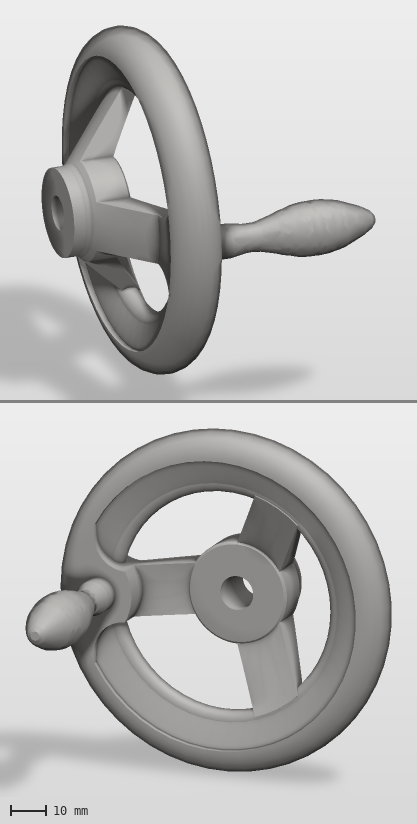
import cadquery as cq
import math


wheel_radius = 50.0
tube_radius = 7.5
tube_center_radius = wheel_radius - tube_radius
rim_front = 18.0
rim_middle = rim_front + tube_radius
rim_back = rim_front + 2 * tube_radius
lip_step = 0.3
lip_depth = 1.7
nose_start_radius = 35.0
rim_inner_radius = 32.0
nose_radius = nose_start_radius - rim_inner_radius

bore_radius = 5.0
collar_radius = 13.0
collar_length = 3.7
flare_radius = 13.5
flare_end = 5.2
hub_radius = 15.0
hub_start = 6.7
hub_chamfer = 0.7
hub_back = 17.3

spoke_count = 3
spoke_width = 15.0
spoke_root_radius = 12.0
spoke_root_front = 3.9
spoke_root_back = 15.0
spoke_tip_radius = 34.0
spoke_tip_front = 24.3
spoke_tip_back = 29.0

pad_front = rim_front + lip_depth
pad_start = 28.0
pad_fillet = 9.3
pad_end_radius = 10.0

handle_offset = 36.0
stem_radius = 5.0
stem_end = 38.0
neck_radius = 4.2
neck_middle = 44.0
grip_start = 52.0
grip_start_radius = 5.7
grip_radius = 8.0
grip_middle = 63.5
tip_start = 81.0
tip_radius = 2.7
handle_end = 82.2


def revolve_about_y(profile):
    """Turn a closed XY profile into a full revolution about the Y axis."""
    return profile.close().revolve(360, (0, 0, 0), (0, 1, 0))


def make_rim():
    """Round outer tube with both faces dished toward a rounded inner nose."""
    lip_radius = tube_center_radius - lip_step
    profile = (
        cq.Workplane("XY")
        .moveTo(tube_center_radius, rim_front)
        .threePointArc((wheel_radius, rim_middle), (tube_center_radius, rim_back))
        .lineTo(tube_center_radius, rim_back - lip_depth)
        .lineTo(lip_radius, rim_back - lip_depth)
        .lineTo(nose_start_radius, rim_middle + nose_radius)
        .threePointArc(
            (rim_inner_radius, rim_middle),
            (nose_start_radius, rim_middle - nose_radius),
        )
        .lineTo(lip_radius, rim_front + lip_depth)
        .lineTo(tube_center_radius, rim_front + lip_depth)
    )
    return revolve_about_y(profile)


def make_hub():
    """Stepped hub with a flared collar and a chamfered back edge."""
    profile = (
        cq.Workplane("XY")
        .lineTo(collar_radius, 0)
        .lineTo(collar_radius, collar_length)
        .lineTo(flare_radius, flare_end)
        .lineTo(hub_radius, hub_start)
        .lineTo(hub_radius, hub_back - hub_chamfer)
        .lineTo(hub_radius - hub_chamfer, hub_back)
        .lineTo(0, hub_back)
    )
    return revolve_about_y(profile)


def make_spokes():
    """Straight-sided spokes cut from a conical shell."""
    shell = revolve_about_y(
        cq.Workplane("XY")
        .moveTo(spoke_root_radius, spoke_root_front)
        .lineTo(spoke_tip_radius, spoke_tip_front)
        .lineTo(spoke_tip_radius, spoke_tip_back)
        .lineTo(spoke_root_radius, spoke_root_back)
    )
    bar = cq.Workplane("XY").box(
        wheel_radius, rim_back, spoke_width, centered=(False, False, True)
    )
    spoke = shell.intersect(bar)
    spokes = spoke
    for index in range(1, spoke_count):
        angle = index * 360 / spoke_count
        spokes = spokes.union(spoke.rotate((0, 0, 0), (0, 1, 0), angle))
    return spokes


def make_pad():
    """Flat pad that flares into the rim by two concave arcs and ends round under the spoke."""
    half_width = spoke_width / 2
    arc_end_x = pad_start + pad_fillet
    arc_end_z = half_width + pad_fillet
    arc_middle_x = pad_start + pad_fillet * math.sin(math.pi / 4)
    arc_middle_z = arc_end_z - pad_fillet * math.cos(math.pi / 4)
    rim_z = math.sqrt(tube_center_radius**2 - arc_end_x**2)
    outline = (
        cq.Workplane("XZ", origin=(0, rim_back, 0))
        .moveTo(pad_start, -half_width)
        .threePointArc((arc_middle_x, -arc_middle_z), (arc_end_x, -arc_end_z))
        .lineTo(arc_end_x, -rim_z)
        .threePointArc((tube_center_radius, 0), (arc_end_x, rim_z))
        .lineTo(arc_end_x, arc_end_z)
        .threePointArc((arc_middle_x, arc_middle_z), (pad_start, half_width))
        .threePointArc((handle_offset - pad_end_radius, 0), (pad_start, -half_width))
        .close()
    )
    return outline.extrude(rim_back - pad_front)


def make_handle():
    """Turned handle with a waisted neck and a bulging grip."""
    profile = (
        cq.Workplane("XY")
        .moveTo(0, rim_middle)
        .lineTo(stem_radius, rim_middle)
        .lineTo(stem_radius, stem_end)
        .spline(
            [(neck_radius, neck_middle), (grip_start_radius, grip_start)],
            includeCurrent=True,
        )
        .spline(
            [(grip_radius, grip_middle), (tip_radius, tip_start)],
            includeCurrent=True,
        )
        .lineTo(tip_radius / 2, handle_end)
        .lineTo(0, handle_end)
    )
    return revolve_about_y(profile).translate((handle_offset, 0, 0))


bore = cq.Workplane("XZ").circle(bore_radius).extrude(-hub_back)

wheel = make_rim().union(make_hub()).union(make_spokes()).union(make_pad())
result = wheel.union(make_handle()).cut(bore)